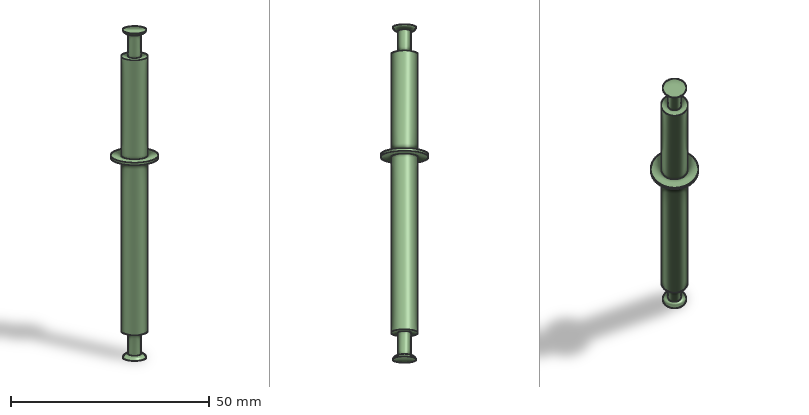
import cadquery as cq

total_length = 87.0

pin_diameter = 3.4
head_diameter = 6.0
head_height = 1.0
flare_radius = 1.5
pin_exposed_length = 7.0

barrel_diameter = 6.8
barrel_length = total_length - 2 * pin_exposed_length

collar_diameter = 12.0
collar_thickness = 0.7
barrel_below_collar = 46.0


def cylinder(diameter, bottom, height):
    """Upright cylinder on the Z axis."""
    return cq.Workplane("XY").workplane(offset=bottom).circle(diameter / 2).extrude(height)


def pin():
    """Pin with a convex flared head at each end, revolved about the Z axis."""
    pin_radius = pin_diameter / 2
    head_radius = head_diameter / 2
    profile = (
        cq.Workplane("XZ")
        .moveTo(0, 0)
        .lineTo(head_radius, 0)
        .radiusArc((pin_radius, head_height), -flare_radius)
        .lineTo(pin_radius, total_length - head_height)
        .radiusArc((head_radius, total_length), -flare_radius)
        .lineTo(0, total_length)
        .close()
    )
    return profile.revolve(360, (0, 0), (0, 1))


def barrel():
    """Plain barrel covering the middle of the pin."""
    return cylinder(barrel_diameter, pin_exposed_length, barrel_length)


def collar():
    """Thin disc standing out from the barrel."""
    collar_bottom = pin_exposed_length + barrel_below_collar
    return cylinder(collar_diameter, collar_bottom, collar_thickness)


result = pin().union(barrel()).union(collar())